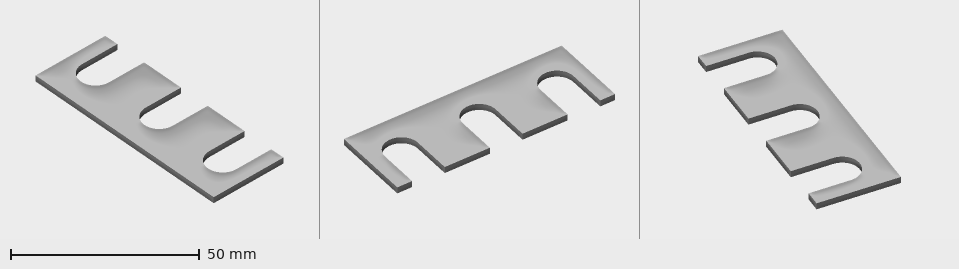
import cadquery as cq

length = 70.0
depth = 25.0
thickness = 2.0

slot_count = 3
slot_pitch = 25.0
slot_width = 10.5
slot_depth = 17.85
slot_radius = slot_width / 2
back_edge = depth / 2
arc_center_y = back_edge - slot_depth + slot_radius


def open_slot(center_x):
    """Solid to remove for one slot running in from the +Y edge."""
    left = center_x - slot_radius
    right = center_x + slot_radius
    return (
        cq.Workplane("XY")
        .moveTo(left, back_edge)
        .lineTo(left, arc_center_y)
        .threePointArc((center_x, back_edge - slot_depth), (right, arc_center_y))
        .lineTo(right, back_edge)
        .close()
        .extrude(thickness)
    )


result = cq.Workplane("XY").box(length, depth, thickness, centered=(True, True, False))

for index in range(slot_count):
    offset = index - (slot_count - 1) / 2
    result = result.cut(open_slot(offset * slot_pitch))